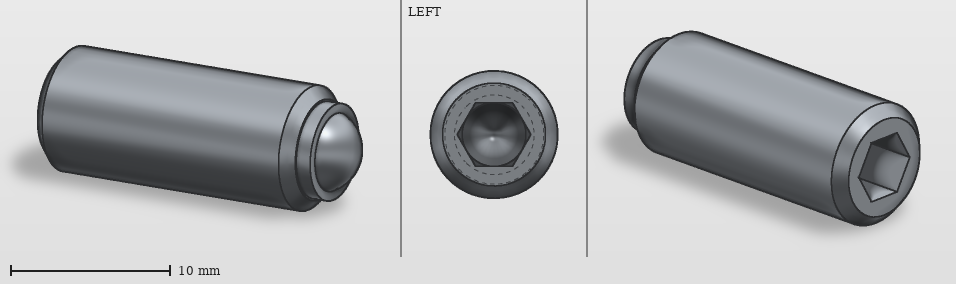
import cadquery as cq
import math

overall_length = 21.2
body_diameter = 8.0
body_length = 18.6
chamfer = 0.77
collar_diameter = 6.2
collar_length = 1.0
ball_diameter = 5.5

hex_across_flats = 4.0
hex_depth = 4.0
drill_point_angle = 100.0

body_radius = body_diameter / 2
chamfered_radius = body_radius - chamfer
collar_radius = collar_diameter / 2
collar_end = body_length + collar_length
ball_radius = ball_diameter / 2
ball_center = overall_length - ball_radius


def ball_point(angle):
    """Point on the ball outline, with the angle measured from the +X axis."""
    return (ball_center + ball_radius * math.cos(angle), ball_radius * math.sin(angle))


def make_screw():
    """Body, collar and protruding ball cap, revolved about the X axis."""
    ball_base_angle = math.acos((collar_end - ball_center) / ball_radius)
    profile = (
        cq.Workplane("XY")
        .moveTo(0, 0)
        .lineTo(0, chamfered_radius)
        .lineTo(chamfer, body_radius)
        .lineTo(body_length - chamfer, body_radius)
        .lineTo(body_length, chamfered_radius)
        .lineTo(body_length, collar_radius)
        .lineTo(collar_end, collar_radius)
        .lineTo(*ball_point(ball_base_angle))
        .threePointArc(ball_point(ball_base_angle / 2), (overall_length, 0))
        .close()
    )
    return profile.revolve(360, (0, 0, 0), (1, 0, 0))


def make_socket():
    """Hexagonal socket, corners pointing along Y, with a conical drill point in its floor."""
    corner_diameter = hex_across_flats / math.cos(math.pi / 6)
    hexagon = cq.Workplane("YZ").polygon(6, corner_diameter).extrude(hex_depth)

    cone_radius = hex_across_flats / 2
    cone_depth = cone_radius / math.tan(math.radians(drill_point_angle / 2))
    cone_base = cq.Vector(hex_depth, 0, 0)
    drill_point = cq.Solid.makeCone(cone_radius, 0, cone_depth, cone_base, cq.Vector(1, 0, 0))
    return hexagon.union(cq.Workplane(drill_point))


result = make_screw().cut(make_socket())